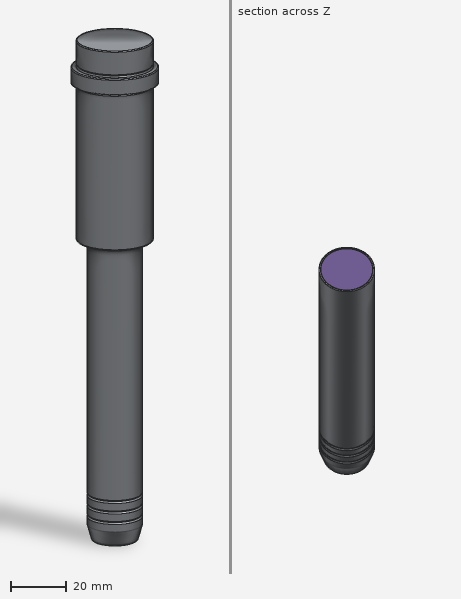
import cadquery as cq

total_height = 190.0
body_bottom = 114.0
collar_bottom = 174.0
collar_top = 180.0

collar_radius = 16.0
body_radius = 14.0
pin_radius = 10.0

relief_half_width = 0.5
relief_depth = 0.5
neck_width = 1.1
neck_depth = 0.5

body_bottom_chamfer = 0.5
body_top_chamfer = 0.4
collar_top_chamfer = 0.4

taper_height = 6.0
tip_radius = 8.4
tip_fillet = 1.1

groove_count = 3
first_groove_center = 9.5
groove_pitch = 4.0
groove_half_width = 0.5
groove_depth = 0.5


def cylinder(radius, bottom, top):
    return cq.Workplane("XY").workplane(offset=bottom).circle(radius).extrude(top - bottom)


def revolve_profile(points):
    """Revolve a closed outline of (radius, height) points around the Z axis."""
    return cq.Workplane("XZ").polyline(points).close().revolve(360, (0, 0, 0), (0, 1, 0))


def cut_v_groove(part, radius, center_height, half_width, depth):
    """Cut a V-shaped ring groove into a cylinder."""
    ring = revolve_profile([
        (radius, center_height - half_width),
        (radius - depth, center_height),
        (radius, center_height + half_width),
    ])
    return part.cut(ring)


pin_profile = [
    (0, 0),
    (tip_radius, 0),
    (pin_radius, taper_height),
    (pin_radius, body_bottom),
    (0, body_bottom),
]
pin = revolve_profile(pin_profile)
pin = pin.faces("<Z").edges().fillet(tip_fillet)

for index in range(groove_count):
    groove_center = first_groove_center + index * groove_pitch
    pin = cut_v_groove(pin, pin_radius, groove_center, groove_half_width, groove_depth)

neck_bottom = body_bottom - neck_width
neck_sleeve = cylinder(pin_radius, neck_bottom, body_bottom)
neck_core = cylinder(pin_radius - neck_depth, neck_bottom, body_bottom)
pin = pin.cut(neck_sleeve.cut(neck_core))

body = cylinder(body_radius, body_bottom, total_height)
body = body.faces("<Z").edges().chamfer(body_bottom_chamfer)
body = body.faces(">Z").edges().chamfer(body_top_chamfer)
for relief_center in (collar_bottom - relief_half_width, collar_top + relief_half_width):
    body = cut_v_groove(body, body_radius, relief_center, relief_half_width, relief_depth)

collar = cylinder(collar_radius, collar_bottom, collar_top)
collar = collar.faces(">Z").edges().chamfer(collar_top_chamfer)

result = pin.union(body).union(collar)